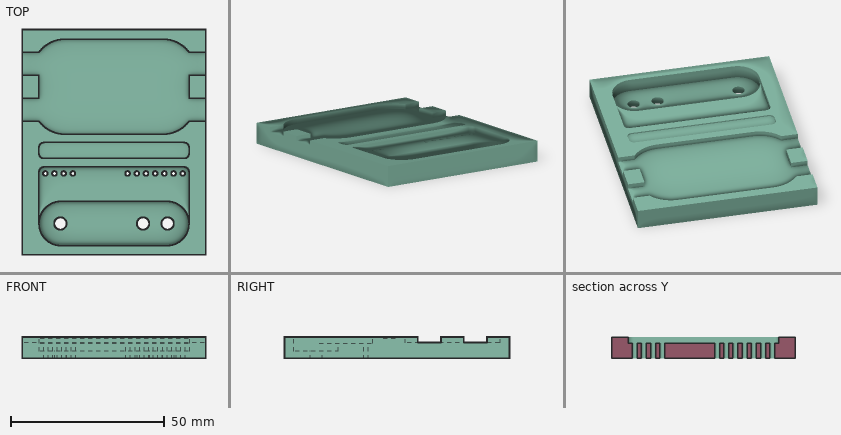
import cadquery as cq

width = 60.0
length = 73.5
thickness = 7.0

recess_depth = 1.8
recess_y = 18.1
recess_length = 31.0
recess_width = 53.1
recess_corner_radius = 10.5
channel_length = 22.5
tab_width = 5.5
tab_length = channel_length / 3

pocket_width = width - 2 * tab_width
small_corner_radius = 1.6

strip_depth = 0.45
strip_length = 5.2
strip_y = -2.7

shelf_depth = 2.0
shelf_back_y = -8.1
trough_depth = 4.5
trough_length = 14.5
trough_y = -26.5

pin_diameter = 1.5
pin_pitch = 3.0
pin_y = -10.2
pin_outer_x = 22.4
left_pin_count = 4
right_pin_count = 7
lead_diameter = 4.0
lead_outer_x = 17.5
lead_inner_x = 9.5


def block(x_size, y_size, depth, x=0, y=0):
    """Box that reaches down by depth from the top face of the plate."""
    return (
        cq.Workplane("XY", origin=(x, y, thickness - depth))
        .rect(x_size, y_size)
        .extrude(depth)
    )


def rounded_block(x_size, y_size, depth, radius, y):
    """Block with rounded vertical corners."""
    return block(x_size, y_size, depth, y=y).edges("|Z").fillet(radius)


def large_recess():
    cutter = rounded_block(recess_width, recess_length, recess_depth, recess_corner_radius, recess_y)
    cutter = cutter.union(block(width, channel_length, recess_depth, y=recess_y))
    tab_x = (width - tab_width) / 2
    for side in (-1, 1):
        cutter = cutter.cut(block(tab_width, tab_length, recess_depth, side * tab_x, recess_y))
    return cutter


def front_pocket():
    shelf_length = shelf_back_y - trough_y
    shelf_y = (shelf_back_y + trough_y) / 2
    shelf = block(pocket_width, shelf_length, shelf_depth, y=shelf_y)
    shelf = shelf.edges("|Z and >Y").fillet(small_corner_radius)
    trough = (
        cq.Workplane("XY", origin=(0, trough_y, thickness - trough_depth))
        .slot2D(pocket_width, trough_length)
        .extrude(trough_depth)
    )
    return shelf.union(trough)


def through_holes(points, diameter):
    return cq.Workplane("XY").pushPoints(points).circle(diameter / 2).extrude(thickness)


left_pins = [(-pin_outer_x + i * pin_pitch, pin_y) for i in range(left_pin_count)]
right_pins = [(pin_outer_x - i * pin_pitch, pin_y) for i in range(right_pin_count)]
leads = [(x, trough_y) for x in (-lead_outer_x, lead_inner_x, lead_outer_x)]

result = (
    block(width, length, thickness)
    .cut(large_recess())
    .cut(rounded_block(pocket_width, strip_length, strip_depth, small_corner_radius, strip_y))
    .cut(front_pocket())
    .cut(through_holes(left_pins + right_pins, pin_diameter))
    .cut(through_holes(leads, lead_diameter))
)